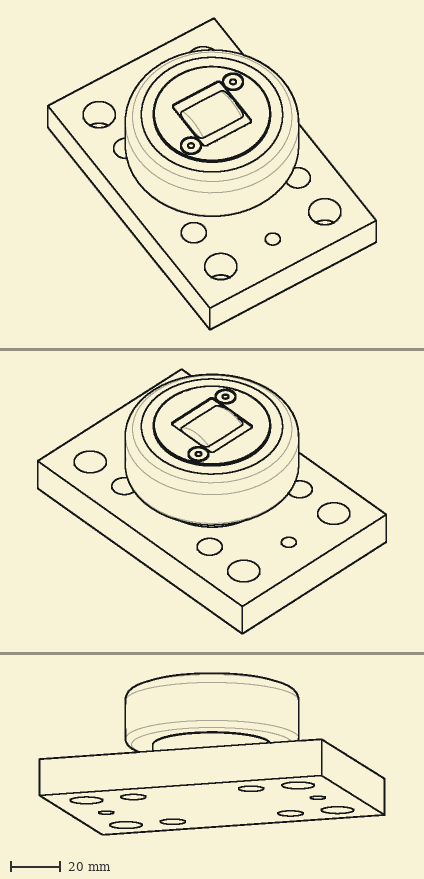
import cadquery as cq
import math

PLATE_LENGTH = 120.0
PLATE_WIDTH = 80.0
PLATE_THICKNESS = 15.0
BOLT_HOLE_DIAMETER = 13.0
BOLT_HOLE_X = 45.0
HOLE_ROW_Y = 25.0
INNER_HOLE_DIAMETER = 10.11
INNER_HOLE_X = 25.0
DOWEL_HOLE_DIAMETER = 6.0

NECK_RADIUS = 24.0
NECK_CHAMFER = 0.4

CROWN_RADIUS = 500.0

ROLLER_BOTTOM_Z = 25.15
ROLLER_TOP_Z = 48.4
ROLLER_RADIUS = 35.05
LOWER_EDGE_RADIUS = 2.4
UPPER_EDGE_RADIUS = 4.1
SHOULDER_HEIGHT = 5.2
TOP_FLAT_RADIUS = 28.5
TOP_SLOPE_ANGLE = math.radians(18.0)

CAP_RADIUS = 47.3 / 2
CAP_CHAMFER = 0.35
CAP_TOP_Z = 49.2

POCKET_LENGTH_X = 24.4
POCKET_LENGTH_Y = 23.0
POCKET_CORNER_RADIUS = 1.2
POCKET_DEPTH = 0.7
SIDE_ROLLER_TOP_Z = 51.0
SIDE_ROLLER_RADIUS = 14.0
SIDE_ROLLER_LENGTH = 22.0
SIDE_ROLLER_EDGE_RADIUS = 1.8

SCREW_X = 8.7
SCREW_Y = 15.75
SCREW_RECESS_DIAMETER = 8.4
SCREW_HEAD_DIAMETER = 7.8
SCREW_HEAD_DEPTH = 0.3
SOCKET_DIAMETER = 2.5
SOCKET_DEPTH = 0.4


def make_plate():
    plate = cq.Workplane("XY").box(
        PLATE_LENGTH, PLATE_WIDTH, PLATE_THICKNESS, centered=(True, True, False)
    )
    hole_groups = (
        (BOLT_HOLE_DIAMETER, BOLT_HOLE_X, (-HOLE_ROW_Y, HOLE_ROW_Y)),
        (INNER_HOLE_DIAMETER, INNER_HOLE_X, (-HOLE_ROW_Y, HOLE_ROW_Y)),
        (DOWEL_HOLE_DIAMETER, BOLT_HOLE_X, (0.0,)),
    )
    for diameter, x, rows in hole_groups:
        points = [(side * x, y) for side in (-1, 1) for y in rows]
        plate = plate.faces(">Z").workplane(origin=(0, 0, 0)).pushPoints(points).hole(diameter)
    return plate


def make_neck():
    neck = (
        cq.Workplane("XY")
        .workplane(offset=PLATE_THICKNESS)
        .circle(NECK_RADIUS)
        .extrude(ROLLER_BOTTOM_Z - PLATE_THICKNESS)
    )
    return neck.faces("<Z or >Z").chamfer(NECK_CHAMFER)


def crown_sag(half_width):
    """Drop of a crowned surface from its middle to its edge."""
    return CROWN_RADIUS - math.sqrt(CROWN_RADIUS**2 - half_width**2)


def make_main_roller():
    """Revolved tyre: crowned running surface, rounded edges and a sloping shoulder."""
    upper_edge_z = ROLLER_TOP_Z - SHOULDER_HEIGHT
    lower_edge_z = ROLLER_BOTTOM_Z + LOWER_EDGE_RADIUS
    half_height = (upper_edge_z - lower_edge_z) / 2
    edge_radius = ROLLER_RADIUS - crown_sag(half_height)

    lower_centre = edge_radius - LOWER_EDGE_RADIUS
    upper_centre = edge_radius - UPPER_EDGE_RADIUS

    def on_upper_edge(angle):
        return (
            upper_centre + UPPER_EDGE_RADIUS * math.cos(angle),
            upper_edge_z + UPPER_EDGE_RADIUS * math.sin(angle),
        )

    edge_end_angle = math.pi / 2 - TOP_SLOPE_ANGLE
    lower_mid = LOWER_EDGE_RADIUS * math.sqrt(0.5)
    return (
        cq.Workplane("XZ")
        .moveTo(0, ROLLER_BOTTOM_Z)
        .lineTo(lower_centre, ROLLER_BOTTOM_Z)
        .threePointArc(
            (lower_centre + lower_mid, lower_edge_z - lower_mid),
            (edge_radius, lower_edge_z),
        )
        .threePointArc((ROLLER_RADIUS, lower_edge_z + half_height), (edge_radius, upper_edge_z))
        .threePointArc(on_upper_edge(edge_end_angle / 2), on_upper_edge(edge_end_angle))
        .lineTo(TOP_FLAT_RADIUS, ROLLER_TOP_Z)
        .lineTo(0, ROLLER_TOP_Z)
        .close()
        .revolve(360, (0, 0, 0), (0, 1, 0))
    )


def make_cap():
    cap = (
        cq.Workplane("XY")
        .workplane(offset=ROLLER_TOP_Z)
        .circle(CAP_RADIUS)
        .extrude(CAP_TOP_Z - ROLLER_TOP_Z)
    )
    return cap.faces(">Z").chamfer(CAP_CHAMFER)


def make_pocket():
    return (
        cq.Workplane("XY")
        .workplane(offset=CAP_TOP_Z - POCKET_DEPTH)
        .rect(POCKET_LENGTH_X, POCKET_LENGTH_Y)
        .extrude(POCKET_DEPTH)
        .edges("|Z")
        .fillet(POCKET_CORNER_RADIUS)
    )


def make_side_roller():
    """Crowned roller lying along Y, with rounded ends."""
    half_length = SIDE_ROLLER_LENGTH / 2
    end_radius = SIDE_ROLLER_RADIUS - crown_sag(half_length)
    return (
        cq.Workplane("YZ")
        .moveTo(-half_length, 0)
        .lineTo(-half_length, end_radius)
        .threePointArc((0, SIDE_ROLLER_RADIUS), (half_length, end_radius))
        .lineTo(half_length, 0)
        .close()
        .revolve(360, (0, 0, 0), (1, 0, 0))
        .faces("<Y or >Y")
        .edges()
        .fillet(SIDE_ROLLER_EDGE_RADIUS)
        .translate((0, 0, SIDE_ROLLER_TOP_Z - SIDE_ROLLER_RADIUS))
    )


def make_screw_recesses():
    """Ring gap around each screw head, plus the socket in the head."""
    top = cq.Workplane("XY").workplane(offset=CAP_TOP_Z)
    points = [(-SCREW_X, SCREW_Y), (SCREW_X, -SCREW_Y)]
    recesses = (
        top.pushPoints(points)
        .circle(SCREW_RECESS_DIAMETER / 2)
        .circle(SCREW_HEAD_DIAMETER / 2)
        .extrude(-SCREW_HEAD_DEPTH)
    )
    sockets = top.pushPoints(points).circle(SOCKET_DIAMETER / 2).extrude(-SOCKET_DEPTH)
    return recesses.union(sockets)


body = make_plate().union(make_neck()).union(make_main_roller()).union(make_cap())
result = body.cut(make_pocket()).union(make_side_roller()).cut(make_screw_recesses())